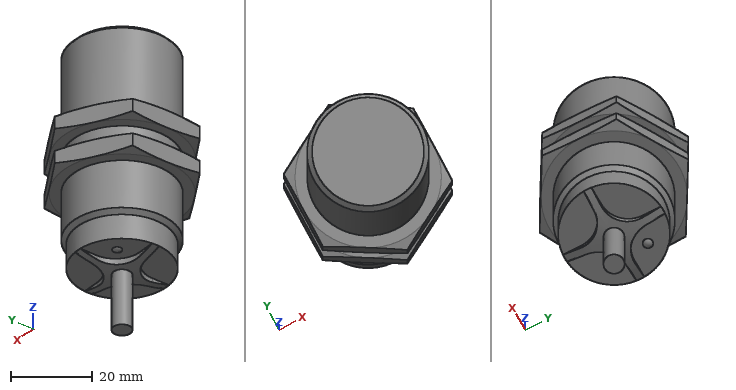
import cadquery as cq
import math

total_height = 80.0
barrel_diameter = 30.0
barrel_bottom = 25.0
barrel_chamfer = (30.0 - 27.5) / 2

cap_diameter = barrel_diameter - 2 * barrel_chamfer
cap_bottom = 17.9
dome_sag = 1.9
rib_width = 2.2
pocket_radius = 7.5

lamp_diameter = 3.3
lamp_projection = 0.6
lamp_offset = 6.2

cable_diameter = 5.2

nut_across_flats = 36.0
nut_thickness = 5.0
nut_bottoms = [40.0, 50.1]
nut_chamfer_angle = 15.0


def make_barrel():
    """Threaded barrel envelope, chamfered at both ends."""
    return (
        cq.Workplane("XY", origin=(0, 0, barrel_bottom))
        .circle(barrel_diameter / 2)
        .extrude(total_height - barrel_bottom)
        .faces("<Z or >Z")
        .chamfer(barrel_chamfer)
    )


def make_cap():
    """Cylindrical end cap with a shallow spherical dome below it."""
    radius = cap_diameter / 2
    dome_radius = (radius**2 + dome_sag**2) / (2 * dome_sag)
    dome_bottom = cap_bottom - dome_sag
    arc_radius = radius / 2
    arc_depth = dome_radius - math.sqrt(dome_radius**2 - arc_radius**2)
    return (
        cq.Workplane("XZ")
        .moveTo(0, dome_bottom)
        .threePointArc((arc_radius, dome_bottom + arc_depth), (radius, cap_bottom))
        .lineTo(radius, barrel_bottom)
        .lineTo(0, barrel_bottom)
        .close()
        .revolve(360, (0, 0), (0, 1))
    )


def make_pocket(x_side, y_side):
    """Quarter of the dome to remove, rounded where the two ribs meet."""
    inner = rib_width / 2
    side = cap_diameter
    return (
        cq.Workplane("XY", origin=(x_side * (inner + side / 2), y_side * (inner + side / 2), cap_bottom))
        .rect(side, side)
        .extrude(-2 * dome_sag)
        .edges("|Z")
        .fillet(pocket_radius)
    )


def make_lamp():
    """Ball whose lower cap shows below the pocket floor."""
    lamp_radius = lamp_diameter / 2
    center_height = cap_bottom - lamp_projection + lamp_radius
    return cq.Workplane("XY", origin=(-lamp_offset, lamp_offset, center_height)).sphere(lamp_radius)


def make_sensor():
    """Barrel, ribbed end cap, lamp and cable as one solid."""
    cap = make_cap()
    for x_side in (-1, 1):
        for y_side in (-1, 1):
            cap = cap.cut(make_pocket(x_side, y_side))
    cable = cq.Workplane("XY").circle(cable_diameter / 2).extrude(cap_bottom)
    return make_barrel().union(cap).union(make_lamp()).union(cable)


def make_nut(bottom):
    """Hexagonal nut, conically chamfered on both faces, bored to fit the barrel."""
    flat_radius = nut_across_flats / 2
    corner_radius = flat_radius / math.cos(math.radians(30))
    corner_drop = (corner_radius - flat_radius) * math.tan(math.radians(nut_chamfer_angle))
    top = bottom + nut_thickness
    hexagon = (
        cq.Workplane("XY", origin=(0, 0, bottom))
        .polygon(6, 2 * corner_radius)
        .extrude(nut_thickness)
        .rotate((0, 0, 0), (0, 0, 1), 30)
    )
    chamfer_envelope = (
        cq.Workplane("XZ")
        .moveTo(0, bottom)
        .lineTo(flat_radius, bottom)
        .lineTo(corner_radius, bottom + corner_drop)
        .lineTo(corner_radius, top - corner_drop)
        .lineTo(flat_radius, top)
        .lineTo(0, top)
        .close()
        .revolve(360, (0, 0), (0, 1))
    )
    bore = (
        cq.Workplane("XY", origin=(0, 0, bottom))
        .circle(barrel_diameter / 2)
        .extrude(nut_thickness)
    )
    return hexagon.intersect(chamfer_envelope).cut(bore)


sensor = make_sensor()
nuts = [make_nut(bottom).solids().val() for bottom in nut_bottoms]

result = cq.Compound.makeCompound([sensor.solids().val(), *nuts])